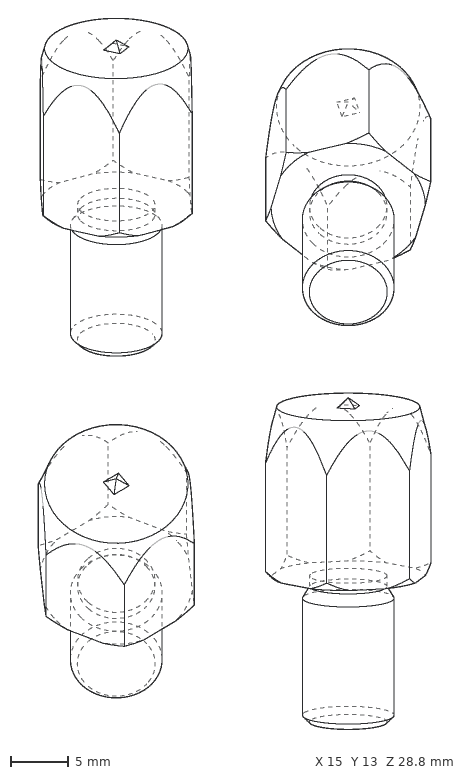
import cadquery as cq
import math

total_height = 28.8
tip_height = 0.8
head_height = 15.0
shank_length = total_height - tip_height - head_height

across_flats = 13.0
corner_radius = across_flats / math.sqrt(3)
top_face_radius = 6.25
top_cone_angle = 15.0
bottom_chamfer = 0.78

shank_radius = 4.0
neck_radius = 3.37
neck_length = 0.95
neck_end_depth = 2.0
end_chamfer = 0.6

tip_half_width = tip_height

head_top = shank_length + head_height


def make_head():
    """Hexagonal prism trimmed by a cone above and a chamfer below."""
    prism = (
        cq.Workplane("XY")
        .workplane(offset=shank_length)
        .polygon(6, 2 * corner_radius)
        .extrude(head_height)
    )
    cone_height = (corner_radius - top_face_radius) / math.tan(math.radians(top_cone_angle))
    envelope = (
        cq.Workplane("XZ")
        .moveTo(0, shank_length)
        .lineTo(corner_radius - bottom_chamfer, shank_length)
        .lineTo(corner_radius, shank_length + bottom_chamfer)
        .lineTo(corner_radius, head_top - cone_height)
        .lineTo(top_face_radius, head_top)
        .lineTo(0, head_top)
        .close()
        .revolve()
    )
    return prism.intersect(envelope)


def make_shank():
    """Chamfered round shank with a tapered step up to the neck."""
    return (
        cq.Workplane("XZ")
        .lineTo(shank_radius - end_chamfer, 0)
        .lineTo(shank_radius, end_chamfer)
        .lineTo(shank_radius, shank_length - neck_end_depth)
        .lineTo(neck_radius, shank_length - neck_length)
        .lineTo(neck_radius, shank_length)
        .lineTo(0, shank_length)
        .close()
        .revolve()
    )


def make_tip():
    """Pointed pyramid on a square base."""
    corners = [
        (x * tip_half_width, y * tip_half_width, head_top)
        for x, y in ((-1, -1), (1, -1), (1, 1), (-1, 1))
    ]
    apex = (0, 0, total_height)
    loops = [corners]
    for start, end in zip(corners, corners[1:] + corners[:1]):
        loops.append([start, end, apex])
    faces = [
        cq.Face.makeFromWires(cq.Wire.makePolygon([cq.Vector(*p) for p in loop], close=True))
        for loop in loops
    ]
    return cq.Workplane(cq.Solid.makeSolid(cq.Shell.makeShell(faces)))


result = make_head().union(make_shank()).union(make_tip())